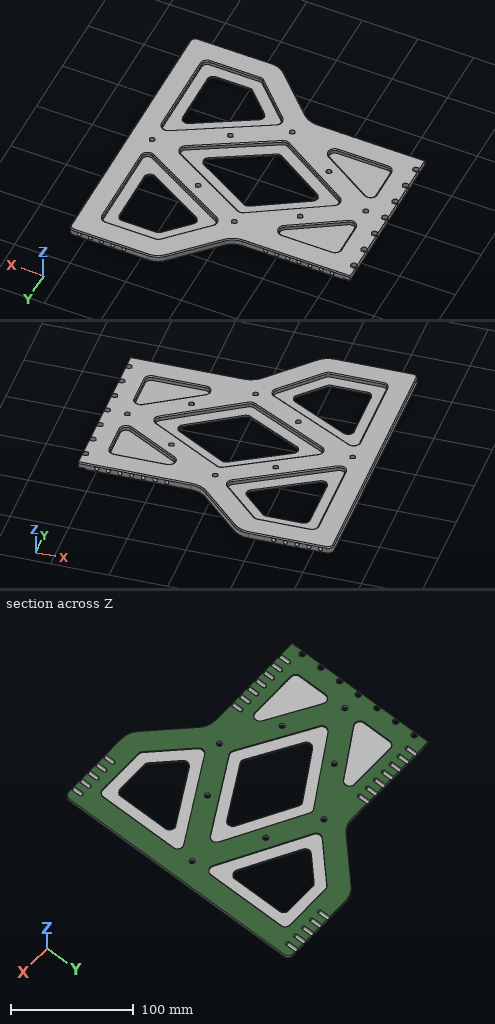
import cadquery as cq
import math

length = 231.5
width = 240.0
thickness = 6.0
half_width = width / 2

narrow_half_width = 73.0
flare_start = 104.6
flare_end = flare_start + half_width - narrow_half_width
flare_radius = 20.0
corner_radius = 5.0
rim_chamfer = 1.0

rib_width = 20.0
half_rib = rib_width / 2
ledge_width = 10.0
pocket_depth = 4.0
pocket_floor = thickness - pocket_depth
pocket_corner_radius = 5.0
opening_corner_radius = 5.0

diamond_left = (19.7, 0.0)
diamond_top = (111.8, 56.0)
diamond_right = (212.0, 0.0)

mount_hole_diameter = 4.5
left_rib_hole_x = (diamond_left[0] + diamond_top[0]) / 2
right_rib_hole_x = 156.0

edge_hole_count = 7
edge_hole_pitch = 60 / 3
edge_hole_diameter = 5.0
edge_breakout = 0.005
edge_hole_x = edge_hole_diameter / 2 - edge_breakout

step_length = 6.0
step_height = 1.0

side_hole_diameter = 3.4
side_hole_depth = 10.0
drill_point_angle = 118
side_hole_pitch = edge_hole_pitch / 2
narrow_side_count = 7
narrow_side_first_x = 15.8
wide_side_count = 5
wide_side_first_x = length - wide_side_count * side_hole_pitch


def mirrored(points):
    """The same points on the other side of the X axis."""
    return [(x, -y) for x, y in points]


def crossing(line_a, line_b):
    """Point where two lines meet, each given by two of its points."""
    (x1, y1), (x2, y2) = line_a
    (x3, y3), (x4, y4) = line_b
    dx_a, dy_a = x2 - x1, y2 - y1
    dx_b, dy_b = x4 - x3, y4 - y3
    along = ((x3 - x1) * dy_b - (y3 - y1) * dx_b) / (dx_a * dy_b - dy_a * dx_b)
    return (x1 + along * dx_a, y1 + along * dy_a)


def inset_prism(corners, inset, radius, bottom, top):
    """Upright prism of a polygon shrunk by inset, with rounded vertical edges."""
    outline = cq.Workplane("XY").workplane(offset=bottom).polyline(corners).close()
    return outline.offset2D(-inset).extrude(top - bottom).edges("|Z").fillet(radius)


def make_plate():
    """Solid plate with rounded outline corners; the two left corners stay sharp."""
    upper = [
        (0, narrow_half_width),
        (flare_start, narrow_half_width),
        (flare_end, half_width),
        (length, half_width),
    ]
    corners = upper + mirrored(upper)[::-1]
    plate = cq.Workplane("XY").polyline(corners).close().extrude(thickness)
    for corner, radius in zip(upper[1:], (flare_radius, flare_radius, corner_radius)):
        for x, y in [corner] + mirrored([corner]):
            edge = cq.selectors.NearestToPointSelector((x, y, thickness / 2))
            plate = plate.edges(edge).fillet(radius)
    return plate


def make_areas():
    """Polygons between the rib lines: those with openings, and the closed ones."""
    left_x = half_rib
    right_x = length - half_rib
    narrow_y = narrow_half_width - half_rib
    wide_y = half_width - half_rib
    flare_shift = half_rib * math.sqrt(2)

    left_line = ((left_x, 0), (left_x, narrow_y))
    right_line = ((right_x, 0), (right_x, wide_y))
    narrow_line = ((0, narrow_y), (length, narrow_y))
    wide_line = ((0, wide_y), (length, wide_y))
    flare_line = (
        (flare_start + flare_shift, narrow_half_width),
        (flare_end + flare_shift, half_width),
    )
    left_diagonal = (diamond_left, diamond_top)
    right_diagonal = (diamond_top, diamond_right)

    diamond = [diamond_left, diamond_top, diamond_right] + mirrored([diamond_top])
    triangle = [
        crossing(left_line, narrow_line),
        crossing(narrow_line, left_diagonal),
        crossing(left_diagonal, left_line),
    ]
    quad = [
        crossing(flare_line, wide_line),
        crossing(wide_line, right_line),
        crossing(right_line, right_diagonal),
        crossing(right_diagonal, flare_line),
    ]
    return [diamond, quad, mirrored(quad)], [triangle, mirrored(triangle)]


def make_mount_holes():
    """Holes at the diamond corners and along each of its four sides."""
    top_x, top_y = diamond_top
    left_slope = top_y / (top_x - diamond_left[0])
    right_slope = top_y / (diamond_right[0] - top_x)
    upper = [
        diamond_top,
        (left_rib_hole_x, left_slope * (left_rib_hole_x - diamond_left[0])),
        (right_rib_hole_x, right_slope * (diamond_right[0] - right_rib_hole_x)),
    ]
    points = [diamond_left, diamond_right] + upper + mirrored(upper)
    return cq.Workplane("XY").pushPoints(points).circle(mount_hole_diameter / 2).extrude(thickness)


def make_edge_holes():
    """Row of through holes along the left edge."""
    row = cq.Workplane("XY").center(edge_hole_x, 0).rarray(2.5, edge_hole_pitch, 1, edge_hole_count)
    return row.circle(edge_hole_diameter / 2).extrude(thickness)


def make_side_holes(first_x, count, face_y):
    """Row of blind holes with drill points, drilled toward +Y from the side face at -Y."""
    radius = side_hole_diameter / 2
    point_length = radius / math.tan(math.radians(drill_point_angle / 2))
    profile = [
        (0, 0),
        (radius, 0),
        (radius, side_hole_depth),
        (0, side_hole_depth + point_length),
    ]
    drill = cq.Workplane("XY").polyline(profile).close().revolve(360, (0, 0), (0, 1))
    row = cq.Workplane("XY")
    for i in range(count):
        row = row.add(drill.translate((first_x + i * side_hole_pitch, -face_y, thickness / 2)))
    return row.combine()


result = make_plate()
open_areas, closed_areas = make_areas()

for area in open_areas + closed_areas:
    result = result.cut(inset_prism(area, half_rib, pocket_corner_radius, pocket_floor, thickness))

result = result.faces(">Z").edges("not(<X)").chamfer(rim_chamfer)

opening_inset = half_rib + ledge_width
for area in open_areas:
    result = result.cut(inset_prism(area, opening_inset, opening_corner_radius, 0, thickness))

step = cq.Workplane("XY").box(step_length, width, step_height, centered=(False, True, False))
result = result.cut(step)

result = result.cut(make_mount_holes()).cut(make_edge_holes())

narrow_row = make_side_holes(narrow_side_first_x, narrow_side_count, narrow_half_width)
wide_row = make_side_holes(wide_side_first_x, wide_side_count, half_width)
for row in (narrow_row, wide_row):
    result = result.cut(row).cut(row.mirror("XZ"))